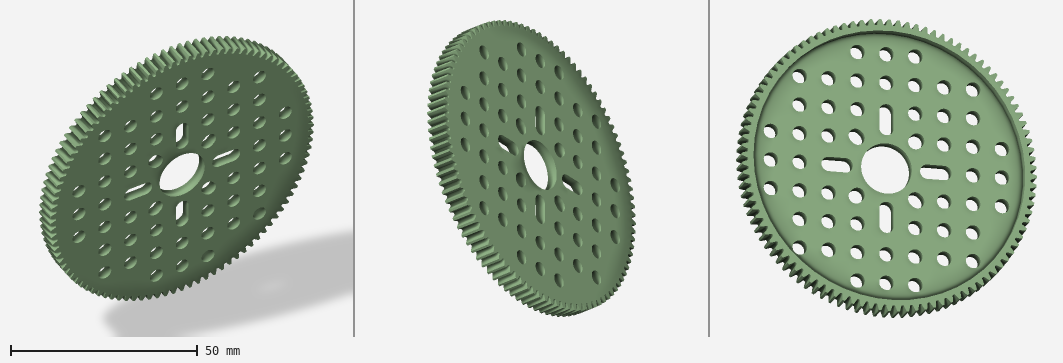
import cadquery as cq
import math

outer_radius = 40.8
thickness = 6.0
tooth_count = 100
module = 2 * outer_radius / (tooth_count + 2)
pitch_radius = outer_radius - module
root_radius = 39.1
foot_radius = 39.25

tip_share = 0.25
pitch_share = 0.5
foot_share = 0.69

recess_radius = 37.6
recess_depth = thickness / 2

grid_pitch = 8.0
grid_hole_diameter = grid_pitch / 2
grid_reach = 4
full_block_reach = 3
edge_row_reach = 1

bore_diameter = 14.0
slot_width = grid_hole_diameter
slot_inner_radius = grid_pitch * math.sqrt(2)
long_slot_outer_radius = 2 * grid_pitch
short_slot_outer_radius = 1.5 * grid_pitch


def polar(radius, angle):
    return (radius * math.cos(angle), radius * math.sin(angle))


def gear_outline():
    """Closed outline of teeth with curved flanks, arced tips and rounded valleys."""
    tooth_angle = 2 * math.pi / tooth_count
    half_tip = tip_share * tooth_angle / 2
    half_pitch = pitch_share * tooth_angle / 2
    half_foot = foot_share * tooth_angle / 2

    outline = cq.Workplane("YZ").moveTo(*polar(foot_radius, -half_foot))
    for tooth in range(tooth_count):
        middle = tooth * tooth_angle
        next_middle = middle + tooth_angle
        valley = middle + tooth_angle / 2
        outline = (
            outline
            .threePointArc(polar(pitch_radius, middle - half_pitch), polar(outer_radius, middle - half_tip))
            .threePointArc(polar(outer_radius, middle), polar(outer_radius, middle + half_tip))
            .threePointArc(polar(pitch_radius, middle + half_pitch), polar(foot_radius, middle + half_foot))
            .threePointArc(polar(root_radius, valley), polar(foot_radius, next_middle - half_foot))
        )
    return outline.close()


def grid_points():
    """Grid positions inside the recess and clear of the bore and slots."""
    points = []
    steps = range(-grid_reach, grid_reach + 1)
    for column in steps:
        for row in steps:
            near, far = sorted((abs(column), abs(row)))
            inside_recess = far <= full_block_reach or near <= edge_row_reach
            clear_of_slots = far > 2 or (far == 2 and near > 0)
            if inside_recess and clear_of_slots:
                points.append((column * grid_pitch, row * grid_pitch))
    return points


def radial_slots(outer_end_radius, start_angle):
    """Four radial slots whose end arcs are centred on the inner and outer end radii."""
    length = outer_end_radius - slot_inner_radius + slot_width
    middle_radius = (slot_inner_radius + outer_end_radius) / 2
    layout = cq.Workplane("YZ").polarArray(middle_radius, start_angle, 360, 4)
    return layout.slot2D(length, slot_width).extrude(thickness, both=True)


gear = gear_outline().extrude(thickness / 2, both=True)

recess_plane = cq.Workplane("YZ", origin=(-thickness / 2, 0, 0))
gear = gear.cut(recess_plane.circle(recess_radius).extrude(recess_depth))

middle_plane = cq.Workplane("YZ")
bore = middle_plane.circle(bore_diameter / 2).extrude(thickness, both=True)
grid_layout = middle_plane.pushPoints(grid_points())
grid_holes = grid_layout.circle(grid_hole_diameter / 2).extrude(thickness, both=True)
gear = gear.cut(bore).cut(grid_holes)
gear = gear.cut(radial_slots(long_slot_outer_radius, 0))
gear = gear.cut(radial_slots(short_slot_outer_radius, 45))

result = gear